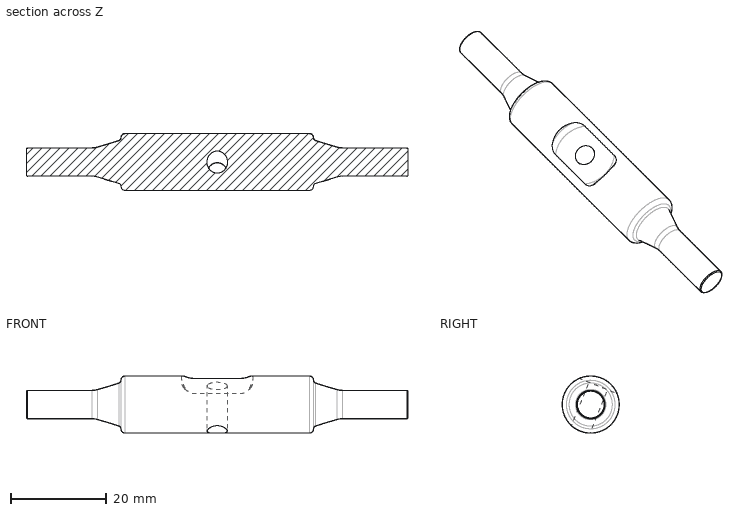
import cadquery as cq
import math

total_length = 80.0
body_diameter = 12.0
shank_diameter = 6.0
body_length = 40.4
body_edge_radius = 0.9
cone_root_radius = 0.6
cone_half_angle = math.radians(17.0)
shank_blend_radius = 4.0
shank_end_chamfer = 0.2

tilt_angle = 22.0
floor_height = 4.2
pocket_diameter = 15.0
pocket_corner_radius = 1.0
hole_diameter = 4.2


def tilted(shape):
    """Lean a shape built along +Z towards +Y, pivoting on the part axis."""
    return shape.rotate((0, 0, 0), (1, 0, 0), -tilt_angle)


def arc_point(center, radius, angle):
    """Point on a circle, with the angle in radians from +X."""
    return (center[0] + radius * math.cos(angle), center[1] + radius * math.sin(angle))


def make_turned_body():
    """Central cylinder with a turned end (shoulder, cone, shank) on each side."""
    half_length = total_length / 2
    shoulder_x = body_length / 2
    body_radius = body_diameter / 2
    shank_radius = shank_diameter / 2
    cylinder_end_x = shoulder_x - body_edge_radius
    straight_down = 1.5 * math.pi

    rim_center = (cylinder_end_x, body_radius - body_edge_radius)
    rim_start = arc_point(rim_center, body_edge_radius, math.pi / 2)
    rim_middle = arc_point(rim_center, body_edge_radius, math.pi / 4)
    rim_end = arc_point(rim_center, body_edge_radius, 0)

    root_center = (shoulder_x + cone_root_radius, rim_end[1])
    root_end_angle = straight_down - cone_half_angle
    root_middle = arc_point(root_center, cone_root_radius, (math.pi + root_end_angle) / 2)
    root_end = arc_point(root_center, cone_root_radius, root_end_angle)

    blend_start_radius = shank_radius + shank_blend_radius * (1 - math.cos(cone_half_angle))
    blend_start_x = root_end[0] + (root_end[1] - blend_start_radius) / math.tan(cone_half_angle)
    blend_end_x = blend_start_x + shank_blend_radius * math.sin(cone_half_angle)
    blend_center = (blend_end_x, shank_radius + shank_blend_radius)
    blend_middle = arc_point(blend_center, shank_blend_radius, straight_down - cone_half_angle / 2)

    end_profile = (
        cq.Workplane("XY")
        .moveTo(*rim_start)
        .threePointArc(rim_middle, rim_end)
        .threePointArc(root_middle, root_end)
        .lineTo(blend_start_x, blend_start_radius)
        .threePointArc(blend_middle, (blend_end_x, shank_radius))
        .lineTo(half_length - shank_end_chamfer, shank_radius)
        .lineTo(half_length, shank_radius - shank_end_chamfer)
        .lineTo(half_length, 0)
        .lineTo(cylinder_end_x, 0)
        .close()
    )
    turned_end = end_profile.revolve(360, (0, 0, 0), (1, 0, 0))
    center = cq.Workplane("YZ").circle(body_radius).extrude(cylinder_end_x, both=True)
    return center.union(turned_end).union(turned_end.mirror("YZ"))


def make_pocket_cutter():
    """Round cutter with a flat end and a rounded lower edge."""
    cutter = (
        cq.Workplane("XY")
        .workplane(offset=floor_height)
        .circle(pocket_diameter / 2)
        .extrude(body_diameter / 2)
        .faces("<Z")
        .edges()
        .fillet(pocket_corner_radius)
    )
    return tilted(cutter)


def make_hole_cutter():
    """Drill passing right through the body, square to the pocket floor."""
    drill = cq.Workplane("XY").circle(hole_diameter / 2).extrude(body_diameter, both=True)
    return tilted(drill)


result = make_turned_body().cut(make_pocket_cutter()).cut(make_hole_cutter())